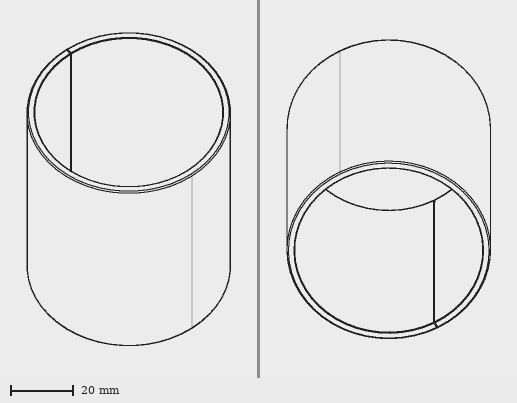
import cadquery as cq

length = 80.0
outer_diameter = 65.0
wall = 2.5
inner_diameter = outer_diameter - 2 * wall

outer_chamfer = 0.5
inner_chamfer = 0.2

gap_width = 0.4

outer_radius = outer_diameter / 2
inner_radius = inner_diameter / 2


def sleeve():
    """Wall section with broken corners, revolved about Z."""
    profile = [
        (inner_radius + inner_chamfer, 0),
        (outer_radius - outer_chamfer, 0),
        (outer_radius, outer_chamfer),
        (outer_radius, length - outer_chamfer),
        (outer_radius - outer_chamfer, length),
        (inner_radius + inner_chamfer, length),
        (inner_radius, length - inner_chamfer),
        (inner_radius, inner_chamfer),
    ]
    return cq.Workplane("XZ").polyline(profile).close().revolve(360, (0, 0), (0, 1))


def gap_cutter():
    """Slab from the axis outward past the -X wall, over the full length."""
    return cq.Workplane("XY").box(
        outer_diameter, gap_width, length, centered=(True, False, False)
    ).translate((-outer_radius, 0, 0))


result = sleeve().cut(gap_cutter())